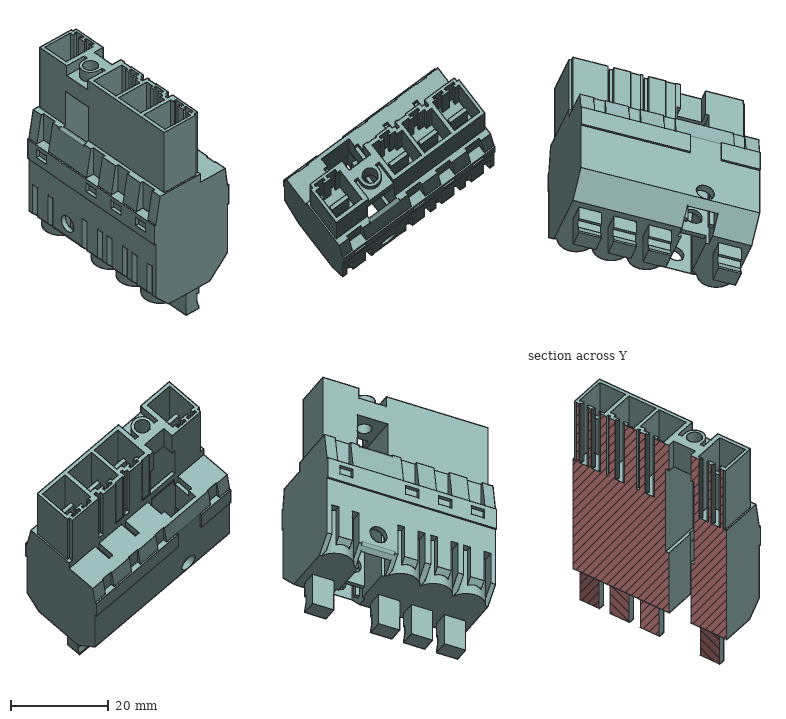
import cadquery as cq


pole_row_length = 38.1
pole_count = 5
pole_pitch = pole_row_length / pole_count
housing_width = 39.0
wired_poles = [-2, 0, 1, 2]
wired_x = [number * pole_pitch for number in wired_poles]
screw_x = -pole_pitch
half_pole = pole_pitch / 2
half_width = housing_width / 2

total_height = 52.4
bottom_z = 7.45
band_bottom_z = 24.85
band_top_z = 29.8
rear_shoulder_z = 34.6
front_shoulder_z = 36.75

housing_depth = 20.6
band_step = 0.35
band_y = housing_depth / 2
wall_y = band_y - band_step
front_shoulder_y = -8.75
rear_shoulder_y = 9.3
tower_front_y = -7.3
tower_rear_y = 2.4
front_chamfer = 3.45
rear_chamfer = 4.9
screw_top_rounding = 0.65
screw_bottom_rounding = 1.05

entry_radius = 4.05
entry_center_y = -4.85
entry_slot_inner = 1.55
entry_slot_outer = 3.15
entry_slot_top_z = 18.4
front_groove_half = 1.8
front_groove_y = -8.05
rear_groove_half = 1.25
rear_groove_y = 9.05
recess_width = 3.05
recess_bottom_z = 26.6
recess_top_z = 28.75
recess_depth = 0.8
shoulder_slot_width = 1.1
shoulder_slot_rear_y = 6.4
shoulder_slot_depth = 2.1

tower_half = 19.1
tower_notch_width = 0.5
tower_notch_y = 1.5
socket_front_y = -6.45
socket_floor_z = front_shoulder_z
socket_bridge_y = 0.8
tee_stem_half = 0.65
tee_flange_half = 1.15
tee_flange_front_y = 1.3
tee_rear_y = 1.85
end_tee_offset = 1.5
end_socket_outer = 3.2
end_socket_inner = 3.3
end_socket_outer_y = 0.65
end_socket_inner_y = 1.0
middle_socket_half = 3.4
middle_socket_right_y = 0.1
middle_step_left = 1.7
middle_step_right = 2.05
coding_notch_front_y = 1.0
coding_notch_mid_y = 1.7
coding_notch_mid = 2.7
coding_notch_end = 3.3
coding_relief_depth = 0.2

window_half = 3.5
window_top_z = 45.55
cap_slot_front_y = -0.05
cap_pocket_half = 3.2
cap_pocket_rear_y = -2.4
cap_pocket_floor_z = 49.9
boss_radius = 2.3
boss_hole_radius = 1.6
boss_y = -3.55
slit_front_y = -7.85
slit_half = 3.05
shaft_step_z = 23.6
cavity_rear_y = 1.6
cavity_half = 2.7
front_cavity_half = 3.45
front_cavity_front_y = -8.75
front_cavity_rear_y = -6.0
front_cavity_top_z = 20.95
bottom_notch_top_z = 9.7
rear_shaft_half = 3.35
rear_shaft_front_y = 2.55
rear_shaft_rear_y = 8.35
rib_length = 1.0
rib_front_y = 5.05
rib_rear_y = 5.9
cross_hole_radius = 1.95
cross_hole_z = 14.4

blade_width = 4.4
blade_thickness = 0.9
blade_y = -3.15
blade_height = 9.45
lever_width = 4.9
lever_front_y = 0.05
lever_rear_y = 3.6
lever_notch_y = 3.1
lever_notch_top_z = 4.05
lever_notch_low_z = 2.05
lever_toe_z = 0.45


def block(x0, x1, y0, y1, z0, z1):
    """A box given by its limits along each axis."""
    return cq.Workplane("XY").box(x1 - x0, y1 - y0, z1 - z0, centered=False).translate((x0, y0, z0))


def centered_block(x, half, y0, y1, z0, z1):
    """A box that reaches the same distance to both sides of x."""
    return block(x - half, x + half, y0, y1, z0, z1)


def column(x, y, radius, z0, z1):
    """An upright cylinder."""
    return cq.Workplane("XY", origin=(x, y, z0)).circle(radius).extrude(z1 - z0)


def side_prism(points, x0, x1):
    """A Y-Z outline extruded along X."""
    return cq.Workplane("YZ", origin=(x0, 0, 0)).polyline(points).close().extrude(x1 - x0)


def housing_section(x0, x1):
    outline = [
        (front_chamfer - wall_y, bottom_z),
        (-wall_y, bottom_z + front_chamfer),
        (-wall_y, band_bottom_z),
        (-band_y, band_bottom_z),
        (-band_y, band_top_z),
        (-wall_y, band_top_z),
        (front_shoulder_y, front_shoulder_z),
        (tower_rear_y, front_shoulder_z),
        (tower_rear_y, rear_shoulder_z),
        (rear_shoulder_y, rear_shoulder_z),
        (wall_y, band_top_z),
        (band_y, band_top_z),
        (band_y, band_bottom_z),
        (wall_y, band_bottom_z),
        (wall_y, bottom_z + rear_chamfer),
        (wall_y - rear_chamfer, bottom_z),
    ]
    return side_prism(outline, x0, x1)


def screw_section():
    """Stretch of the housing at the screw pole, with its front edges rounded."""
    section = housing_section(screw_x - half_pole, screw_x + half_pole)
    top_edge = cq.NearestToPointSelector((screw_x, front_shoulder_y, front_shoulder_z))
    bottom_edge = cq.NearestToPointSelector((screw_x, -wall_y, bottom_z + front_chamfer))
    section = section.edges(top_edge).fillet(screw_top_rounding)
    return section.edges(bottom_edge).fillet(screw_bottom_rounding)


def tower():
    body = block(-tower_half, tower_half, tower_front_y, tower_rear_y, front_shoulder_z, total_height)
    for side in (-1, 1):
        half = tower_notch_width / 2
        notch_x = side * (tower_half - half)
        notch = centered_block(notch_x, half, tower_notch_y, tower_rear_y, front_shoulder_z, total_height)
        body = body.cut(notch)
    return body


def wire_entry(x):
    return column(x, entry_center_y, entry_radius, bottom_z, entry_slot_top_z)


def entry_slots(x):
    """Two slots in the front wall, one on each side of the wire entry."""
    slots = cq.Workplane("XY")
    for side in (-1, 1):
        slot_x = x + side * (entry_slot_inner + entry_slot_outer) / 2
        slot_half = (entry_slot_outer - entry_slot_inner) / 2
        slots = slots.union(
            centered_block(slot_x, slot_half, -wall_y, entry_center_y, bottom_z, entry_slot_top_z)
        )
    return slots


def front_groove(x):
    return centered_block(x, front_groove_half, -band_y, front_groove_y, band_top_z, front_shoulder_z)


def rear_groove(x):
    return centered_block(x, rear_groove_half, rear_groove_y, band_y, band_top_z, rear_shoulder_z)


def band_recess(x):
    return centered_block(
        x, recess_width / 2, -band_y, recess_depth - band_y, recess_bottom_z, recess_top_z
    )


def shoulder_slot(x):
    slot_bottom_z = rear_shoulder_z - shoulder_slot_depth
    return centered_block(
        x, shoulder_slot_width / 2, tower_rear_y, shoulder_slot_rear_y, slot_bottom_z, rear_shoulder_z
    )


def socket_block(x0, x1, y0, y1):
    return block(x0, x1, y0, y1, socket_floor_z, total_height)


def tee_groove(x):
    """T-shaped coding groove in the rear wall of a socket."""
    stem = socket_block(x - tee_stem_half, x + tee_stem_half, 0, tee_rear_y)
    flange = socket_block(x - tee_flange_half, x + tee_flange_half, tee_flange_front_y, tee_rear_y)
    return stem.union(flange)


def end_socket():
    """Socket of the first pole, about X = 0; the last pole has its mirror image."""
    bridge_end = end_tee_offset + tee_stem_half
    socket = socket_block(-end_socket_outer, end_socket_inner, socket_front_y, end_socket_outer_y)
    socket = socket.union(socket_block(-end_tee_offset, end_tee_offset, socket_front_y, socket_bridge_y))
    socket = socket.union(socket_block(bridge_end, end_socket_inner, socket_front_y, end_socket_inner_y))
    for side in (-1, 1):
        socket = socket.union(tee_groove(side * end_tee_offset))
    return socket


def middle_socket():
    """Socket of an inner pole, about X = 0."""
    half = middle_socket_half
    socket = socket_block(-half, half, socket_front_y, middle_socket_right_y)
    socket = socket.union(socket_block(-half, middle_step_right, socket_front_y, socket_bridge_y))
    socket = socket.union(socket_block(-half, -middle_step_left, socket_front_y, tee_flange_front_y))
    return socket.union(tee_groove(0))


def coding_notch():
    """Stepped notch in the outer rear corner of an inner pole, with a shallow relief beside it."""
    deep = socket_block(coding_notch_mid, coding_notch_end, coding_notch_front_y, tower_rear_y)
    shallow = socket_block(middle_step_right, coding_notch_mid, coding_notch_mid_y, tower_rear_y)
    relief_front_y = tower_rear_y - coding_relief_depth
    relief = socket_block(-half_pole, -middle_step_left, relief_front_y, tower_rear_y)
    return deep.union(shallow).union(relief)


def screw_block(half, y0, y1, z0, z1):
    return centered_block(screw_x, half, y0, y1, z0, z1)


def cap_pocket():
    """Pocket in the tower top around the screw boss."""
    pocket = screw_block(
        cap_pocket_half, tower_front_y, cap_pocket_rear_y, cap_pocket_floor_z, total_height
    )
    boss = column(screw_x, boss_y, boss_radius, cap_pocket_floor_z, total_height)
    boss_neck = screw_block(boss_radius, boss_y, cap_pocket_rear_y, cap_pocket_floor_z, total_height)
    return pocket.cut(boss).cut(boss_neck)


def front_cavity():
    """Space behind the front wall of the screw pole, open through the window and the bottom."""
    step = screw_block(window_half, slit_front_y, cavity_rear_y, shaft_step_z, window_top_z)
    slit = screw_block(slit_half, slit_front_y, front_cavity_rear_y, front_cavity_top_z, shaft_step_z)
    wide = screw_block(
        front_cavity_half, front_cavity_front_y, front_cavity_rear_y, bottom_z, front_cavity_top_z
    )
    narrow = screw_block(cavity_half, front_cavity_rear_y, cavity_rear_y, bottom_z, shaft_step_z)
    return step.union(slit).union(wide).union(narrow)


def rear_shaft():
    """Shaft behind the tower, with a rib on each side wall."""
    shaft = screw_block(
        rear_shaft_half, rear_shaft_front_y, rear_shaft_rear_y, bottom_z, rear_shoulder_z
    )
    step = screw_block(
        window_half, rear_shaft_front_y, rear_shaft_rear_y, shaft_step_z, rear_shoulder_z
    )
    for side in (-1, 1):
        rib_x = screw_x + side * (rear_shaft_half - rib_length / 2)
        rib = centered_block(
            rib_x, rib_length / 2, rib_front_y, rib_rear_y, bottom_notch_top_z, shaft_step_z
        )
        shaft = shaft.cut(rib)
    return shaft.union(step)


def screw_pole_openings():
    window = screw_block(window_half, tower_front_y, tower_rear_y, front_shoulder_z, window_top_z)
    cap_slot = screw_block(cavity_half, cap_slot_front_y, tower_rear_y, window_top_z, total_height)
    screw_hole = column(screw_x, boss_y, boss_hole_radius, window_top_z, total_height)
    cross_plane = cq.Workplane("XZ", origin=(screw_x, 0, cross_hole_z))
    cross_hole = cross_plane.circle(cross_hole_radius).extrude(band_y, both=True)
    bottom_notch = screw_block(cavity_half, -wall_y, wall_y, bottom_z, bottom_notch_top_z)
    band_gap = screw_block(rear_shaft_half, wall_y, band_y, band_bottom_z, band_top_z)
    return [
        window, cap_slot, screw_hole, cap_pocket(), front_cavity(), rear_shaft(),
        cross_hole, bottom_notch, band_gap,
    ]


def build_housing():
    body = housing_section(-half_width, screw_x - half_pole)
    body = body.union(screw_section())
    body = body.union(housing_section(screw_x + half_pole, half_width))
    body = body.union(tower())

    for x in wired_x:
        for cutter in (entry_slots(x), front_groove(x), rear_groove(x), band_recess(x)):
            body = body.cut(cutter)
        body = body.union(wire_entry(x))

    for boundary in range(pole_count - 1):
        body = body.cut(shoulder_slot((boundary + 1) * pole_pitch - pole_row_length / 2))

    first_x, *inner_x, last_x = wired_x
    body = body.cut(end_socket().translate((first_x, 0, 0)))
    body = body.cut(end_socket().mirror("YZ").translate((last_x, 0, 0)))
    for x in inner_x:
        body = body.cut(middle_socket().translate((x, 0, 0)))
        body = body.cut(coding_notch().translate((x, 0, 0)))

    for opening in screw_pole_openings():
        body = body.cut(opening)
    return body


def contact_blade(x):
    """Flat contact standing on the socket floor."""
    return centered_block(
        x,
        blade_width / 2,
        blade_y - blade_thickness / 2,
        blade_y + blade_thickness / 2,
        socket_floor_z,
        socket_floor_z + blade_height,
    )


def release_lever(x):
    """Lever under the housing, with a tool notch in its rear face."""
    outline = [
        (lever_front_y, 0),
        (lever_rear_y, 0),
        (lever_rear_y, lever_toe_z),
        (lever_notch_y, lever_notch_low_z),
        (lever_notch_y, lever_notch_top_z),
        (lever_rear_y, lever_notch_top_z),
        (lever_rear_y, bottom_z),
        (lever_front_y, bottom_z),
    ]
    return side_prism(outline, x - lever_width / 2, x + lever_width / 2)


housing = build_housing()
blades = [contact_blade(x) for x in wired_x]
levers = [release_lever(x) for x in wired_x]

result = cq.Compound.makeCompound(
    [housing.val(), *[blade.val() for blade in blades], *[lever.val() for lever in levers]]
)